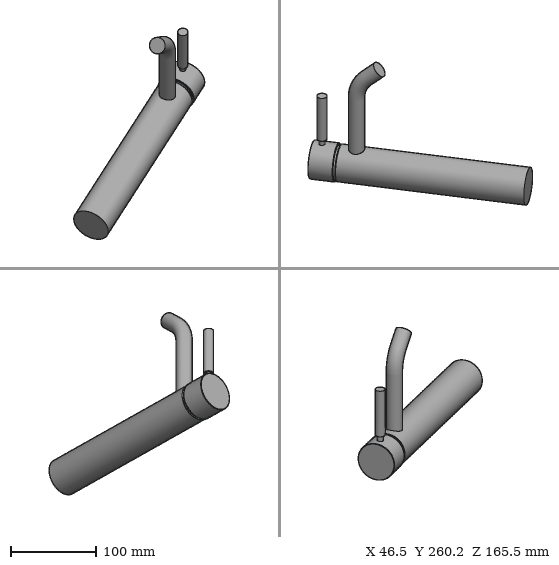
import cadquery as cq
import math

OVERALL_LENGTH = 260.2
OVERALL_HEIGHT = 165.5

CAP_DIAMETER = 46.5
CAP_LENGTH = 30.0
CAP_CHAMFER = 0.5

COLLAR_DIAMETER = 42.2
COLLAR_LENGTH = 3.0
COLLAR_CHAMFER = 0.8

BARREL_DIAMETER = 45.0
BARREL_LENGTH = OVERALL_LENGTH - CAP_LENGTH - COLLAR_LENGTH

LEVER_Y = -11.7
STEM_DIAMETER = 7.3
HANDLE_DIAMETER = 12.0
HANDLE_BOTTOM = 29.7
HANDLE_TOP = 89.0
HANDLE_CHAMFER = 0.5

SPOUT_Y = -53.3
SPOUT_DIAMETER = 19.5
BEND_START = 93.7
BEND_RADIUS = 37.2
BEND_ANGLE = 48.0


def cylinder_along_y(diameter, start_y, length):
    """Solid cylinder on the main axis, running from start_y toward -Y."""
    return cq.Workplane("XZ", origin=(0, start_y, 0)).circle(diameter / 2).extrude(length)


def post(diameter, y, bottom, top):
    """Vertical cylinder standing at the given Y."""
    return cq.Workplane("XY", origin=(0, y, bottom)).circle(diameter / 2).extrude(top - bottom)


def make_cap():
    return cylinder_along_y(CAP_DIAMETER, 0, CAP_LENGTH).faces("<Y or >Y").chamfer(CAP_CHAMFER)


def make_collar():
    """The collar is chamfered where it meets the barrel."""
    collar = cylinder_along_y(COLLAR_DIAMETER, -CAP_LENGTH, COLLAR_LENGTH)
    return collar.faces("<Y").chamfer(COLLAR_CHAMFER)


def make_barrel():
    return cylinder_along_y(BARREL_DIAMETER, -CAP_LENGTH - COLLAR_LENGTH, BARREL_LENGTH)


def make_stem(cap):
    """The stem's foot follows the round surface of the cap."""
    return post(STEM_DIAMETER, LEVER_Y, 0, HANDLE_BOTTOM).cut(cap)


def make_handle():
    handle = post(HANDLE_DIAMETER, LEVER_Y, HANDLE_BOTTOM, HANDLE_TOP)
    return handle.faces("<Z").chamfer(HANDLE_CHAMFER)


def make_spout(barrel):
    """Sweep the bar along its centreline; its foot follows the round surface of the barrel."""
    angle = math.radians(BEND_ANGLE)

    def bend_point(turn):
        y = SPOUT_Y - BEND_RADIUS * (1 - math.cos(turn))
        z = BEND_START + BEND_RADIUS * math.sin(turn)
        return y, z

    end_y, end_z = bend_point(angle)
    rim_rise = SPOUT_DIAMETER / 2 * math.sin(angle)
    tip_z = OVERALL_HEIGHT - CAP_DIAMETER / 2 - rim_rise
    tip_y = end_y - (tip_z - end_z) * math.tan(angle)

    centreline = (
        cq.Workplane("YZ")
        .moveTo(SPOUT_Y, 0)
        .lineTo(SPOUT_Y, BEND_START)
        .threePointArc(bend_point(angle / 2), (end_y, end_z))
        .lineTo(tip_y, tip_z)
    )
    section = cq.Workplane("XY", origin=(0, SPOUT_Y, 0)).circle(SPOUT_DIAMETER / 2)
    return section.sweep(centreline).cut(barrel)


cap = make_cap()
collar = make_collar()
barrel = make_barrel()
stem = make_stem(cap)
handle = make_handle()
spout = make_spout(barrel)

result = cq.Compound.makeCompound(
    [cap.val(), collar.val(), barrel.val(), stem.solids().val(), handle.val(), spout.solids().val()]
)